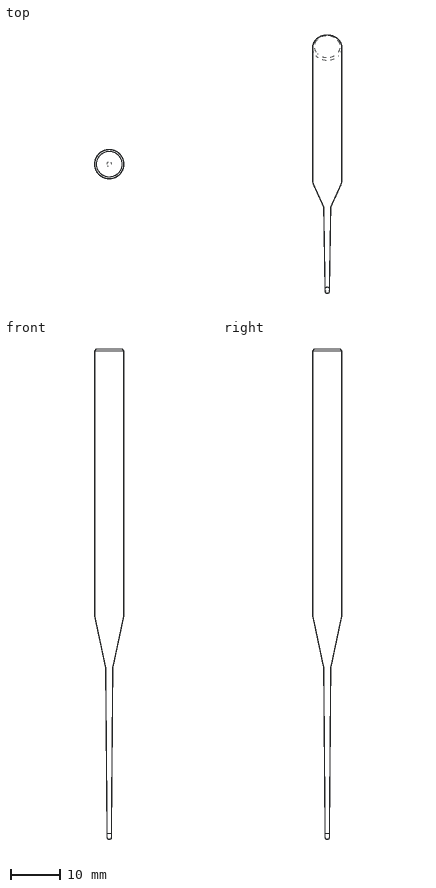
import cadquery as cq

total_length = 100.0
shank_diameter = 6.0
shank_chamfer = 0.4
cone_top = 45.6
cone_bottom = 35.7
cone_end_diameter = 1.8
neck_top = 35.1
neck_top_diameter = 1.5
neck_bottom = 2.0
neck_bottom_diameter = 0.95
tip_diameter = 1.0
tip_length = 1.2

shank_radius = shank_diameter / 2
cone_end_radius = cone_end_diameter / 2
neck_top_radius = neck_top_diameter / 2
neck_bottom_radius = neck_bottom_diameter / 2
tip_radius = tip_diameter / 2


def turn(profile):
    """Revolve a closed half-profile fully about the Z axis."""
    return profile.revolve(360, (0, 0, 0), (0, 1, 0))


def make_holder():
    """Shank, long cone, short run-out and tapered neck, turned as one piece."""
    profile = (
        cq.Workplane("XZ")
        .moveTo(0, tip_length)
        .lineTo(neck_bottom_radius, tip_length)
        .lineTo(neck_bottom_radius, neck_bottom)
        .lineTo(neck_top_radius, neck_top)
        .lineTo(cone_end_radius, cone_bottom)
        .lineTo(shank_radius, cone_top)
        .lineTo(shank_radius, total_length)
        .lineTo(0, total_length)
        .close()
    )
    return turn(profile).faces(">Z").chamfer(shank_chamfer)


def make_cutting_tip():
    """Ball-nosed cylinder that butts against the lower end of the neck."""
    arc_middle_x = tip_radius * 0.5 ** 0.5
    arc_middle_z = tip_radius - arc_middle_x
    profile = (
        cq.Workplane("XZ")
        .threePointArc((arc_middle_x, arc_middle_z), (tip_radius, tip_radius))
        .lineTo(tip_radius, tip_length)
        .lineTo(0, tip_length)
        .close()
    )
    return turn(profile)


holder = make_holder()
cutting_tip = make_cutting_tip()

result = cq.Compound.makeCompound([holder.val(), cutting_tip.val()])